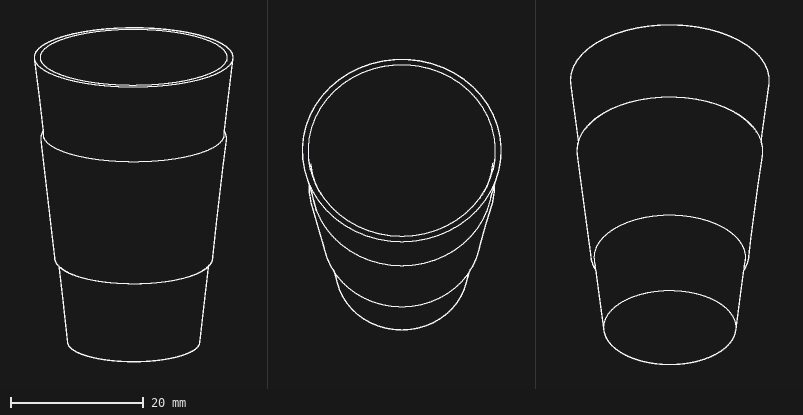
import cadquery as cq
import math

height = 45.0
rim_diameter = 30.0
base_radius = 10.0
wall = 1.0
floor_thickness = 2.0
floor_fillet = 2.0

recess_diameter = 28.2
recess_depth = 1.3
shoulder_height = 0.9

sleeve_bottom = 12.8
sleeve_top = 32.75
sleeve_thickness = 0.45
sleeve_edge_height = 0.75

rim_radius = rim_diameter / 2
taper = (rim_radius - base_radius) / height


def outer_radius(z):
    """Radius of the cup's outer cone at height z."""
    return base_radius + taper * z


def inner_radius(z):
    """Radius of the cup's inner cone at height z."""
    return outer_radius(z) - wall


def make_cup():
    recess_radius = recess_diameter / 2
    recess_z = height - recess_depth
    shoulder_z = recess_z - shoulder_height
    middle_radius = (inner_radius(shoulder_z) + recess_radius) / 2
    middle_z = recess_z - shoulder_height / 2
    half_width = recess_radius - middle_radius
    chord = math.hypot(half_width, shoulder_height / 2)
    chord_angle = math.atan2(half_width, shoulder_height / 2)
    arc_sagitta = chord / 2 * math.tan(chord_angle / 2)
    blank = (
        cq.Workplane("XZ")
        .polyline([(0, 0), (base_radius, 0), (rim_radius, height), (0, height)])
        .close()
        .revolve(360, (0, 0), (0, 1))
    )
    cavity = (
        cq.Workplane("XZ")
        .moveTo(0, floor_thickness)
        .lineTo(inner_radius(floor_thickness), floor_thickness)
        .lineTo(inner_radius(shoulder_z), shoulder_z)
        .sagittaArc((middle_radius, middle_z), arc_sagitta)
        .sagittaArc((recess_radius, recess_z), -arc_sagitta)
        .lineTo(recess_radius, height)
        .lineTo(0, height)
        .close()
        .revolve(360, (0, 0), (0, 1))
        .edges("<Z")
        .fillet(floor_fillet)
    )
    return blank.cut(cavity)


def sleeve_radius(z):
    """Radius of the sleeve's outer cone at height z."""
    return outer_radius(z) + sleeve_thickness


def edge_midpoint(edge_z, shoulder_z):
    """Middle point of the rounded edge between the cup surface and the sleeve's outer cone."""
    fraction = math.sqrt(0.5)
    radius = outer_radius(edge_z) + fraction * (sleeve_radius(shoulder_z) - outer_radius(edge_z))
    z = shoulder_z + fraction * (edge_z - shoulder_z)
    return radius, z


def make_sleeve():
    lower_shoulder = sleeve_bottom + sleeve_edge_height
    upper_shoulder = sleeve_top - sleeve_edge_height
    return (
        cq.Workplane("XZ")
        .moveTo(outer_radius(sleeve_bottom), sleeve_bottom)
        .threePointArc(
            edge_midpoint(sleeve_bottom, lower_shoulder),
            (sleeve_radius(lower_shoulder), lower_shoulder),
        )
        .lineTo(sleeve_radius(upper_shoulder), upper_shoulder)
        .threePointArc(
            edge_midpoint(sleeve_top, upper_shoulder),
            (outer_radius(sleeve_top), sleeve_top),
        )
        .close()
        .revolve(360, (0, 0), (0, 1))
    )


cup = make_cup()
sleeve = make_sleeve()

result = cq.Compound.makeCompound([cup.val(), sleeve.val()])